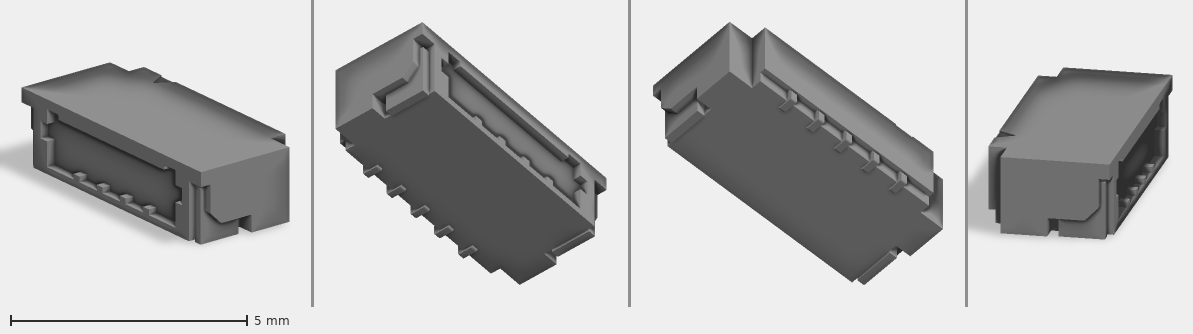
import cadquery as cq
import math

width = 6.2
total_depth = 2.77
height = 1.7
rear_width = 4.9
rear_depth = 0.4
front_y = -total_depth / 2
rear_y = total_depth / 2
shoulder_y = rear_y - rear_depth

contact_count = 5
pitch = 0.8
contact_width = 0.16
standoff = 0.05
contact_foot_top = 0.205
contact_stem_top = 0.3
contact_stem_back = 0.055
contact_edge_radius = 0.05
rear_recess_depth = 0.15

mouth_width = 4.45
mouth_floor = 0.16
mouth_top = 1.475
mouth_depth = 0.2
ear_width = 4.9
ear_bottom = 0.745
ear_top = 1.135
lip_width = 3.635
lip_bottom = 1.36
lip_fillet = 0.055
key_width = 0.2
key_height = 0.13

pocket_width = 0.415
pocket_top = 1.36
pocket_depth = 0.255
pocket_length = 1.36
slot_height = 0.41
slope_size = 0.29
tab_inset = 0.205
tab_thickness = 0.2
tab_top = 1.215
tab_setback = 0.15
tab_length = 1.16

mark_side = 0.495
mark_depth = 0.04


def box(x_size, y_min, y_max, z_min, z_max, x_center=0.0):
    """Box centred on x_center and bounded in Y and Z."""
    return (
        cq.Workplane("XY")
        .box(x_size, y_max - y_min, z_max - z_min, centered=(True, False, False))
        .translate((x_center, y_min, z_min))
    )


def row_positions(count):
    """X positions of a centred row at the contact pitch."""
    return [(i - (count - 1) / 2) * pitch for i in range(count)]


def extrude_side_profile(points, x_start, thickness):
    """Extrude a (Y, Z) outline along +X."""
    return cq.Workplane("YZ").polyline(points).close().extrude(thickness).translate((x_start, 0, 0))


def make_housing():
    main = box(width, front_y, shoulder_y, 0, height)
    rear = box(rear_width, shoulder_y, rear_y, 0, height)
    recess = box(rear_width, rear_y - rear_recess_depth, rear_y, 0, contact_stem_top)
    return main.union(rear).cut(recess)


def make_mouth():
    back = front_y + mouth_depth
    mouth = box(mouth_width, front_y, back, mouth_floor, mouth_top)
    mouth = mouth.union(box(ear_width, front_y, back, ear_bottom, ear_top))
    lip = box(lip_width, front_y, back, lip_bottom, mouth_top)
    mouth = mouth.cut(lip)
    lip_edges = cq.selectors.BoxSelector(
        (-lip_width / 2 - lip_fillet, front_y, mouth_top - lip_fillet),
        (lip_width / 2 + lip_fillet, back, mouth_top + lip_fillet),
    )
    mouth = mouth.edges("|Y").edges(lip_edges).fillet(lip_fillet)
    for x in row_positions(contact_count - 1):
        mouth = mouth.cut(box(key_width, front_y, back, mouth_floor, mouth_floor + key_height, x))
    return mouth


def stepped_outline(front, top, bottom, back):
    """Upright leg at the front, 45 degree slope, then a low foot running back."""
    leg_back = front_y + pocket_depth
    return [
        (front, bottom),
        (front, top),
        (leg_back, top),
        (leg_back, slot_height + slope_size),
        (leg_back + slope_size, slot_height),
        (back, slot_height),
        (back, bottom),
    ]


def make_left_pocket():
    outline = stepped_outline(front_y, pocket_top, 0, front_y + pocket_length)
    return extrude_side_profile(outline, -width / 2, pocket_width)


def make_left_tab():
    outline = stepped_outline(front_y + tab_setback, tab_top, -standoff, front_y + tab_length)
    return extrude_side_profile(outline, -width / 2 + tab_inset, tab_thickness)


def make_contact(x):
    foot = box(contact_width, shoulder_y, rear_y, -standoff, contact_foot_top, x)
    foot = foot.edges("|X and <Z").fillet(contact_edge_radius)
    stem = box(contact_width, shoulder_y, rear_y - contact_stem_back, 0, contact_stem_top, x)
    return foot.union(stem)


def make_pin_mark():
    x = row_positions(contact_count)[0]
    points = [
        (x - mark_side / 2, rear_y),
        (x + mark_side / 2, rear_y),
        (x, rear_y - mark_side * math.sqrt(3) / 2),
    ]
    return cq.Workplane("XY").workplane(offset=height - mark_depth).polyline(points).close().extrude(mark_depth)


pocket = make_left_pocket()
tab = make_left_tab()

result = make_housing().cut(make_mouth()).cut(make_pin_mark())
result = result.cut(pocket).cut(pocket.mirror("YZ"))
result = result.union(tab).union(tab.mirror("YZ"))
for contact_x in row_positions(contact_count):
    result = result.union(make_contact(contact_x))